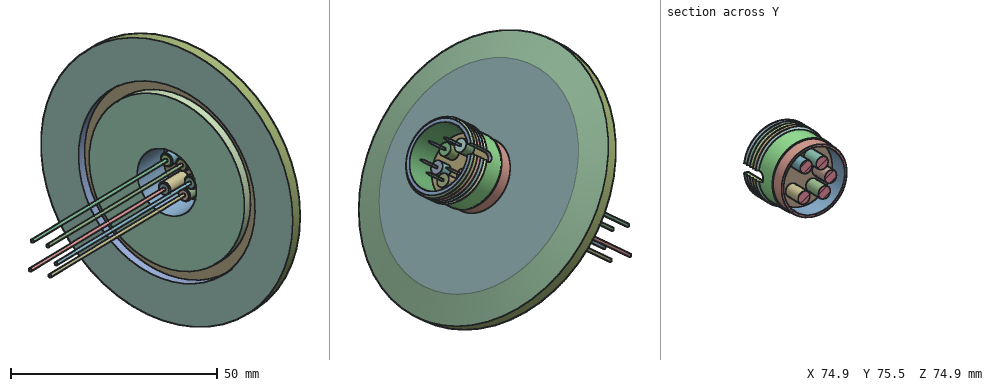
import cadquery as cq
import math


overall_length = 75.45

flange_diameter = 74.9
flange_radius = flange_diameter / 2
flange_thickness = 5.2
rim_height = 3.2
bevel_width = 7.55
groove_inner_radius = 23.1
groove_outer_radius = 26.25
groove_depth = 2.6

bore_radius = 8.75
neck_radius = 9.5
body_diameter = 19.55
body_radius = body_diameter / 2
shoulder_y = 9.05
shell_end_y = 21.6

thread_count = 5
thread_pitch = 1.3
thread_crest_radius = 10.3
thread_start_y = shell_end_y - thread_count * thread_pitch

slot_width = 2.8
slot_closed_end_y = 13.2

plate_front_y = 10.95
plate_thickness = 1.5

conductor_angles = [0, 61, 119, 232, 308]
conductor_circle_radius = 4.75
sleeve_diameter = 3.55
sleeve_radius = sleeve_diameter / 2
sleeve_chamfer = 0.3
sleeve_front_y = 2.95
sleeve_back_y = 15.85
wire_radius = 0.45
wire_end_y = -53.0
pin_radius = 0.3
pin_tip_radius = 0.15
pin_taper_length = 1.3
pin_end_y = wire_end_y + overall_length


def cylinder(radius, start_y, end_y, x=0, z=0):
    """Solid cylinder along Y between two y positions."""
    return cq.Workplane(
        cq.Solid.makeCylinder(radius, end_y - start_y, cq.Vector(x, start_y, z), cq.Vector(0, 1, 0))
    )


def revolve_about_y(outline):
    return outline.close().revolve(360, (0, 0, 0), (0, 1, 0))


def make_flange():
    blank = revolve_about_y(
        cq.Workplane("XY")
        .lineTo(flange_radius, 0)
        .lineTo(flange_radius, rim_height)
        .lineTo(flange_radius - bevel_width, flange_thickness)
        .lineTo(0, flange_thickness)
    )
    groove = cylinder(groove_outer_radius, 0, groove_depth).cut(cylinder(groove_inner_radius, 0, groove_depth))
    return blank.cut(groove)


def make_shell():
    """Neck, body and thread as one turned outline."""
    outline = (
        cq.Workplane("XY")
        .moveTo(0, rim_height)
        .lineTo(neck_radius, rim_height)
        .lineTo(neck_radius, shoulder_y)
        .lineTo(body_radius, shoulder_y)
        .lineTo(body_radius, thread_start_y)
    )
    for ring in range(thread_count):
        root_y = thread_start_y + ring * thread_pitch
        outline = outline.lineTo(thread_crest_radius, root_y + thread_pitch / 2)
        outline = outline.lineTo(body_radius, root_y + thread_pitch)
    return revolve_about_y(outline.lineTo(0, shell_end_y))


def make_key_slot():
    """Open at the shell's end, with a round closed end."""
    round_end_y = slot_closed_end_y + slot_width / 2
    straight_length = shell_end_y - round_end_y
    straight = cq.Workplane("XY").box(
        flange_radius, straight_length, slot_width, centered=(False, False, True)
    ).translate((-flange_radius, round_end_y, 0))
    round_end = (
        cq.Workplane("YZ").center(round_end_y, 0).circle(slot_width / 2).extrude(-flange_radius)
    )
    return straight.union(round_end)


def make_conductor(x, z):
    """Sleeve with a long wire in front and a tapered contact pin behind."""
    sleeve = cylinder(sleeve_radius, sleeve_front_y, sleeve_back_y, x, z).faces("<Y").chamfer(sleeve_chamfer)
    wire = cylinder(wire_radius, wire_end_y, sleeve_back_y, x, z)
    taper_start_y = pin_end_y - pin_taper_length
    pin = cylinder(pin_radius, sleeve_front_y, taper_start_y, x, z)
    tip = cq.Workplane(
        cq.Solid.makeCone(
            pin_radius, pin_tip_radius, pin_taper_length, cq.Vector(x, taper_start_y, z), cq.Vector(0, 1, 0)
        )
    )
    return sleeve.union(wire).union(pin).union(tip)


result = make_flange().union(make_shell())
result = result.cut(cylinder(bore_radius, 0, shell_end_y))
result = result.cut(make_key_slot())
result = result.union(cylinder(bore_radius, plate_front_y, plate_front_y + plate_thickness))

for angle in conductor_angles:
    conductor_x = conductor_circle_radius * math.cos(math.radians(angle))
    conductor_z = conductor_circle_radius * math.sin(math.radians(angle))
    result = result.union(make_conductor(conductor_x, conductor_z))

result = cq.Workplane(result.solids().val())